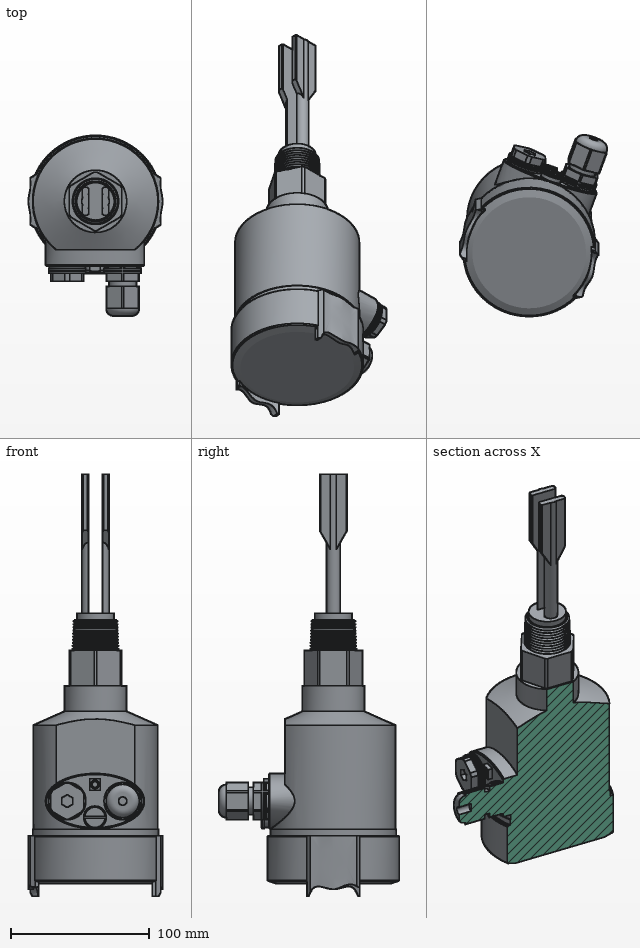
import cadquery as cq
import math


total_height = 304.59
cover_bottom = 9.0
cover_rim = 10.8
cover_top = 43.8
collar_top = 48.3
shoulder_bottom = 123.5
shoulder_top = 133.5
neck_top = 151.8
hex_top = 177.4
thread_top = 199.7
spigot_top = 204.3

body_diameter = 90.0
collar_diameter = 91.0
neck_diameter = 45.0
flat_y = -35.0

cover_diameter = 95.4
cover_edge_chamfer = 0.8
cover_rim_inset = 1.0
cover_base_diameter = 82.0
grip_reach = 97.12 / 2
grip_inner_radius = 45.0
grip_bevel_height = 5.0
grip_bevel_width = 3.0
grip_half_width = 19.2
grip_foot_x = (40.8, 43.6)
grip_tip = (47.2, 16.8)
scallop_floor = (47.1, 9.4)
foot_length = 1.4
scallop_height = 7.0
shallow_scallop_height = 8.6
shallow_end_height = 6.6
scallop_y = 11.4
crest_height = 5.0

hex_across_flats = 37.6
hex_corner_diameter = 42.3
thread_top_diameter = 31.9
thread_bottom_diameter = 33.5
thread_depth = 1.4
thread_pitch = 2.209
spigot_diameter = 27.0

tine_inner_x = 5.0
tine_radius = 5.0
blade_width = 20.0
blade_thickness = 4.5
blade_shoulder = 264.0
blade_slant_angle = 30.0
blade_edge_chamfer = 0.8

boss_x = -0.4
boss_width = 71.4
boss_height = 40.0
boss_z = 68.7
boss_face_y = -46.7
boss_edge_chamfer = 0.8

entry_x = 20.0
seal_neck_diameter = 26.0
flange_diameter = 27.0
flange_start = 1.6
flange_end = 5.2
seal_groove_start = 3.0
seal_groove_end = 3.8
entry_hex_flats = 24.0
gland_hex_corner = 27.0
plug_hex_corner = 26.0
entry_hex_end = 11.0
socket_flats = 8.0
socket_depth = 5.0
gland_neck_diameter = 20.0
gland_neck_end = 14.7
gland_tip_y = cover_diameter / 2 - 130.5
gland_face_diameter = 13.0
cable_hole_diameter = 6.0
cable_hole_depth = 10.0

slot_plug_drop = 11.7
slot_plug_neck_diameter = 15.0
slot_plug_head_diameter = 16.3
slot_plug_head_start = 3.2
slot_plug_head_end = 5.4
slot_plug_chamfer = 0.8
slot_width = 1.2
slot_depth = 1.2

terminal_rise = 12.0
terminal_width = 7.8
terminal_length = 8.4
terminal_height = 3.6
terminal_recess_diameter = 6.0
terminal_recess_depth = 1.2
terminal_screw_diameter = 4.2
terminal_screw_height = 0.6

OVERLAP = 1.0


def disc(diameter, z_low, z_high):
    """Cylinder on the Z axis between two heights."""
    return cq.Workplane("XY").workplane(offset=z_low).circle(diameter / 2).extrude(z_high - z_low)


def hex_bar(flats, corner_diameter, height):
    """Hexagon from z = 0 with flats on +-X and its corners turned to a diameter."""
    across_corners = flats / math.cos(math.radians(30))
    bar = cq.Workplane("XY").polygon(6, across_corners).extrude(height)
    bar = bar.rotate((0, 0, 0), (0, 0, 1), 30)
    return bar.intersect(disc(corner_diameter, 0, height))


def on_boss(piece, x, rise):
    """Turn a piece built up +Z so that it stands on the boss face, pointing to -Y."""
    turned = piece.rotate((0, 0, 0), (1, 0, 0), 90)
    return turned.translate((boss_x + x, boss_face_y, boss_z + rise))


def make_housing():
    body = (
        cq.Workplane("XZ")
        .moveTo(0, cover_top - OVERLAP)
        .lineTo(body_diameter / 2, cover_top - OVERLAP)
        .lineTo(body_diameter / 2, shoulder_bottom)
        .lineTo(neck_diameter / 2, shoulder_top)
        .lineTo(neck_diameter / 2, neck_top)
        .lineTo(0, neck_top)
        .close()
        .revolve(360, (0, 0), (0, 1))
    )
    flat_cut = (
        cq.Workplane("XY")
        .workplane(offset=boss_z)
        .center(0, flat_y - body_diameter / 2)
        .rect(2 * body_diameter, body_diameter)
        .extrude(neck_top - boss_z)
    )
    return body.cut(flat_cut).union(disc(collar_diameter, cover_top - OVERLAP, collar_top))


def make_boss():
    boss = (
        cq.Workplane("XZ")
        .center(boss_x, boss_z)
        .ellipse(boss_width / 2, boss_height / 2)
        .extrude(-boss_face_y)
    )
    return boss.faces("<Y").chamfer(boss_edge_chamfer)


def make_cover():
    radius = cover_diameter / 2
    return (
        cq.Workplane("XZ")
        .moveTo(0, cover_bottom)
        .lineTo(cover_base_diameter / 2, cover_bottom)
        .lineTo(radius - cover_rim_inset, cover_rim)
        .lineTo(radius, cover_rim + cover_edge_chamfer)
        .lineTo(radius, cover_top - cover_edge_chamfer)
        .lineTo(radius - cover_edge_chamfer, cover_top)
        .lineTo(0, cover_top)
        .close()
        .revolve(360, (0, 0), (0, 1))
    )


def make_grip():
    """Grip on the +X side: a scalloped shell segment below the cover, deepest at its -Y end."""
    foot_inner_x, foot_outer_x = grip_foot_x
    tip_x, tip_y = grip_tip
    floor_x, floor_y = scallop_floor
    plan = (
        cq.Workplane("XY")
        .moveTo(foot_inner_x, -grip_half_width)
        .lineTo(foot_outer_x, -grip_half_width)
        .lineTo(tip_x, -tip_y)
        .spline(
            [(floor_x, -floor_y), (grip_reach, 0), (floor_x, floor_y), (tip_x, tip_y)],
            includeCurrent=True,
        )
        .lineTo(foot_outer_x, grip_half_width)
        .lineTo(foot_inner_x, grip_half_width)
        .threePointArc((grip_inner_radius, 0), (foot_inner_x, -grip_half_width))
        .close()
        .extrude(cover_top)
    )
    foot_y = grip_half_width - foot_length
    side_outline = (
        cq.Workplane("YZ")
        .moveTo(-grip_half_width, cover_top)
        .lineTo(-grip_half_width, 0)
        .lineTo(-foot_y, 0)
        .spline(
            [
                (-scallop_y, scallop_height),
                (0, crest_height),
                (scallop_y, shallow_scallop_height),
                (foot_y, shallow_end_height),
            ],
            includeCurrent=True,
        )
        .lineTo(grip_half_width, shallow_end_height)
        .lineTo(grip_half_width, cover_top)
        .close()
        .extrude(2 * grip_reach)
    )
    bevel_outline = (
        cq.Workplane("XZ")
        .moveTo(0, 0)
        .lineTo(grip_reach - grip_bevel_width, 0)
        .lineTo(grip_reach, grip_bevel_height)
        .lineTo(grip_reach, cover_top)
        .lineTo(0, cover_top)
        .close()
        .extrude(grip_half_width, both=True)
    )
    return plan.intersect(side_outline).intersect(bevel_outline)


def make_thread():
    """Tapered thread as a stack of V-shaped ridges."""
    length = thread_top - hex_top
    ridge_count = int(length / thread_pitch)
    taper = (thread_bottom_diameter - thread_top_diameter) / 2 / length

    def crest_radius(height):
        return thread_bottom_diameter / 2 - taper * height

    profile = cq.Workplane("XZ").moveTo(0, hex_top - OVERLAP)
    profile = profile.lineTo(crest_radius(0) - thread_depth, hex_top - OVERLAP)
    for ridge in range(ridge_count):
        root = ridge * thread_pitch
        crest = root + thread_pitch / 2
        profile = profile.lineTo(crest_radius(root) - thread_depth, hex_top + root)
        profile = profile.lineTo(crest_radius(crest), hex_top + crest)
    profile = profile.lineTo(crest_radius(length) - thread_depth, thread_top)
    return profile.lineTo(0, thread_top).close().revolve(360, (0, 0), (0, 1))


def make_process_connection():
    nut = hex_bar(hex_across_flats, hex_corner_diameter, hex_top - neck_top + OVERLAP)
    nut = nut.translate((0, 0, neck_top - OVERLAP))
    return nut.union(make_thread()).union(disc(spigot_diameter, thread_top - OVERLAP, spigot_top))


def make_tine():
    """Tine on the +X side: a half-round rod that widens into a flat blade."""
    rod_bottom = spigot_top - OVERLAP
    rod = (
        cq.Workplane("XY")
        .workplane(offset=rod_bottom)
        .moveTo(tine_inner_x, -tine_radius)
        .threePointArc((tine_inner_x + tine_radius, 0), (tine_inner_x, tine_radius))
        .close()
        .extrude(total_height - rod_bottom)
    )
    half_width = blade_width / 2
    slant_length = half_width / math.tan(math.radians(blade_slant_angle))
    blade = (
        cq.Workplane("YZ")
        .workplane(offset=tine_inner_x)
        .moveTo(0, blade_shoulder - slant_length)
        .lineTo(half_width, blade_shoulder)
        .lineTo(half_width, total_height)
        .lineTo(-half_width, total_height)
        .lineTo(-half_width, blade_shoulder)
        .close()
        .extrude(blade_thickness)
    )
    blade = blade.faces(">Y or <Y").edges("|Z").chamfer(blade_edge_chamfer)
    return rod.union(blade)


def make_entry_base(hex_corner):
    """Sealed flange and hexagon shared by the blanking plug and the cable gland."""
    base = disc(seal_neck_diameter, -OVERLAP, flange_end)
    base = base.union(disc(flange_diameter, flange_start, seal_groove_start))
    base = base.union(disc(flange_diameter, seal_groove_end, flange_end))
    return base.union(hex_bar(entry_hex_flats, hex_corner, entry_hex_end))


def make_blanking_plug():
    across_corners = socket_flats / math.cos(math.radians(30))
    socket = (
        cq.Workplane("XY")
        .workplane(offset=entry_hex_end - socket_depth)
        .polygon(6, across_corners)
        .extrude(socket_depth)
        .rotate((0, 0, 0), (0, 0, 1), 30)
    )
    return make_entry_base(plug_hex_corner).cut(socket)


def make_cable_gland():
    tip = boss_face_y - gland_tip_y
    dome_radius = (entry_hex_flats - gland_face_diameter) / 2
    hex_end = tip - dome_radius
    hex_length = hex_end - gland_neck_end
    cap = hex_bar(entry_hex_flats, gland_hex_corner, hex_length).translate((0, 0, gland_neck_end))
    dome = disc(entry_hex_flats, gland_neck_end, tip).faces(">Z").edges().fillet(dome_radius)
    gland = make_entry_base(gland_hex_corner)
    gland = gland.union(disc(gland_neck_diameter, entry_hex_end - OVERLAP, gland_neck_end + OVERLAP))
    gland = gland.union(cap).union(dome)
    return gland.cut(disc(cable_hole_diameter, tip - cable_hole_depth, tip))


def make_slotted_plug():
    plug = disc(slot_plug_neck_diameter, -OVERLAP, slot_plug_head_start)
    head = disc(slot_plug_head_diameter, slot_plug_head_start, slot_plug_head_end)
    plug = plug.union(head.faces(">Z").chamfer(slot_plug_chamfer))
    slot = (
        cq.Workplane("XY")
        .workplane(offset=slot_plug_head_end - slot_depth)
        .rect(slot_plug_head_diameter, slot_width)
        .extrude(slot_depth)
    )
    return plug.cut(slot)


def make_earth_terminal():
    block_height = terminal_height + OVERLAP
    block = cq.Workplane("XY").workplane(offset=-OVERLAP)
    block = block.rect(terminal_width, terminal_length).extrude(block_height)
    recess_floor = terminal_height - terminal_recess_depth
    block = block.cut(disc(terminal_recess_diameter, recess_floor, terminal_height))
    screw_top = recess_floor + terminal_screw_height
    return block.union(disc(terminal_screw_diameter, recess_floor - OVERLAP, screw_top))


result = make_housing().union(make_boss()).union(make_cover())
result = result.union(make_process_connection())
for half_turn in (0, 180):
    result = result.union(make_grip().rotate((0, 0, 0), (0, 0, 1), half_turn))
    result = result.union(make_tine().rotate((0, 0, 0), (0, 0, 1), half_turn))
result = result.union(on_boss(make_blanking_plug(), -entry_x, 0))
result = result.union(on_boss(make_cable_gland(), entry_x, 0))
result = result.union(on_boss(make_slotted_plug(), 0, -slot_plug_drop))
result = result.union(on_boss(make_earth_terminal(), 0, terminal_rise))